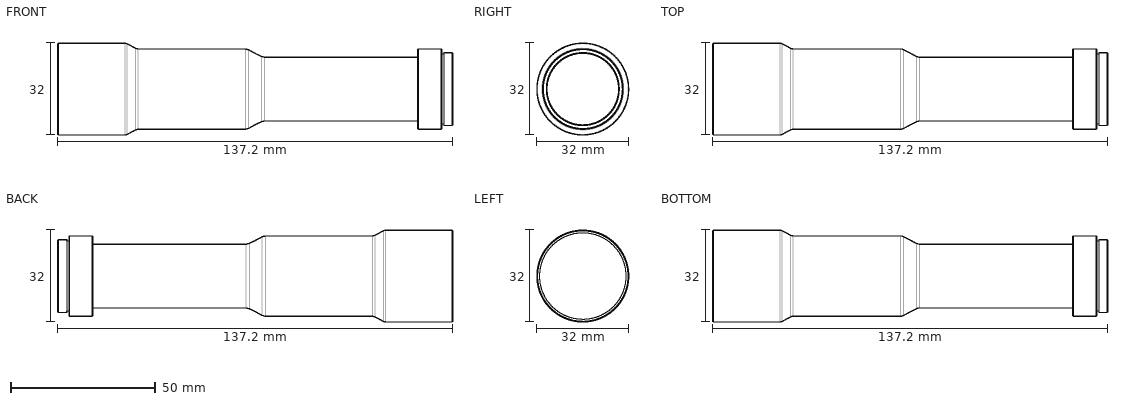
import cadquery as cq

total_length = 137.2
head_end = 23.7
body_start = 27.5
body_end = 65.7
tube_start = 71.2
collar_start = 125.0
collar_end = 133.4
groove_end = 134.0

head_diameter = 32.0
body_diameter = 28.0
tube_diameter = 22.2
collar_diameter = 28.0
groove_diameter = 24.4
mount_diameter = 25.4

recess_diameter = 30.0
recess_depth = 2.5

head_blend_radius = 1.6
body_blend_radius = 2.5
edge_chamfer = 0.3


def turned_profile():
    """Half outline of the solid of revolution, from the front end to the rear."""
    return (
        cq.Workplane("XY")
        .moveTo(0, 0)
        .lineTo(0, head_diameter / 2)
        .lineTo(head_end, head_diameter / 2)
        .lineTo(body_start, body_diameter / 2)
        .lineTo(body_end, body_diameter / 2)
        .lineTo(tube_start, tube_diameter / 2)
        .lineTo(collar_start, tube_diameter / 2)
        .lineTo(collar_start, collar_diameter / 2)
        .lineTo(collar_end, collar_diameter / 2)
        .lineTo(collar_end, groove_diameter / 2)
        .lineTo(groove_end, groove_diameter / 2)
        .lineTo(groove_end, mount_diameter / 2)
        .lineTo(total_length, mount_diameter / 2)
        .lineTo(total_length, 0)
        .close()
    )


def rim_at(x, diameter):
    """Selector for the circular edge of a given diameter at position x."""
    margin = 0.1
    reach = diameter / 2 + margin
    return cq.selectors.BoxSelector(
        (x - margin, -reach, -reach), (x + margin, reach, reach), boundingbox=True
    ) - cq.selectors.BoxSelector(
        (x - margin, -reach + 2 * margin, -reach + 2 * margin),
        (x + margin, reach - 2 * margin, reach - 2 * margin),
        boundingbox=True,
    )


part = turned_profile().revolve(360, (0, 0, 0), (1, 0, 0))

for x, diameter, radius in (
    (head_end, head_diameter, head_blend_radius),
    (body_start, body_diameter, head_blend_radius),
    (body_end, body_diameter, body_blend_radius),
    (tube_start, tube_diameter, body_blend_radius),
):
    part = part.edges(rim_at(x, diameter)).fillet(radius)

for x, diameter in (
    (0, head_diameter),
    (collar_start, collar_diameter),
    (collar_end, collar_diameter),
    (total_length, mount_diameter),
):
    part = part.edges(rim_at(x, diameter)).chamfer(edge_chamfer)

recess = cq.Workplane("YZ").circle(recess_diameter / 2).extrude(recess_depth)
result = part.cut(recess)